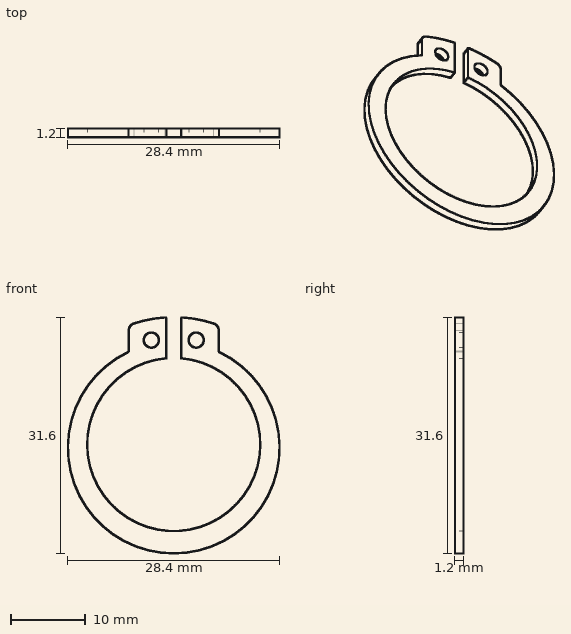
import cadquery as cq
import math

overall_height = 31.6
thickness = 1.2
outer_diameter = 28.35
outer_radius = outer_diameter / 2
bore_radius = 11.55
outer_center_drop = 0.4
gap_width = 2.0
lug_top_height = overall_height - outer_radius - outer_center_drop
lug_half_width = 6.05
lug_corner_radius = 1.0
small_radius = 0.2
hole_diameter = 2.0
hole_offset_x = 3.0
hole_height = 13.97

lug_tip_radius = small_radius + math.hypot(lug_top_height - small_radius, gap_width / 2 + small_radius)

lug_root_height = math.sqrt(outer_radius**2 - lug_half_width**2) - outer_center_drop


def disc(radius, center_z=0):
    """Disc of the ring's thickness, centred on Y = 0."""
    return (
        cq.Workplane("XZ", origin=(0, thickness / 2, 0))
        .center(0, center_z)
        .circle(radius)
        .extrude(thickness)
    )


def upper_block(width):
    """Block rising from the bore centre past the lug tips."""
    return cq.Workplane("XY").box(
        width, thickness, 2 * lug_tip_radius, centered=(True, True, False)
    )


lugs = disc(lug_tip_radius).intersect(upper_block(2 * lug_half_width))
lugs = lugs.edges("|Y and (>X or <X)").edges(">Z").fillet(lug_corner_radius)

ring = disc(outer_radius, -outer_center_drop).union(lugs)
for side in (-1, 1):
    lug_root = (side * lug_half_width, 0, lug_root_height)
    ring = ring.edges("|Y").edges(cq.NearestToPointSelector(lug_root)).fillet(small_radius)

ring = ring.cut(disc(bore_radius)).cut(upper_block(gap_width))

for side in (-1, 1):
    lug_tip = (side * gap_width / 2, 0, lug_top_height)
    ring = ring.edges("|Y").edges(cq.NearestToPointSelector(lug_tip)).fillet(small_radius)

plier_holes = (
    cq.Workplane("XZ", origin=(0, thickness / 2, 0))
    .pushPoints([(-hole_offset_x, hole_height), (hole_offset_x, hole_height)])
    .circle(hole_diameter / 2)
    .extrude(thickness)
)

result = ring.cut(plier_holes)